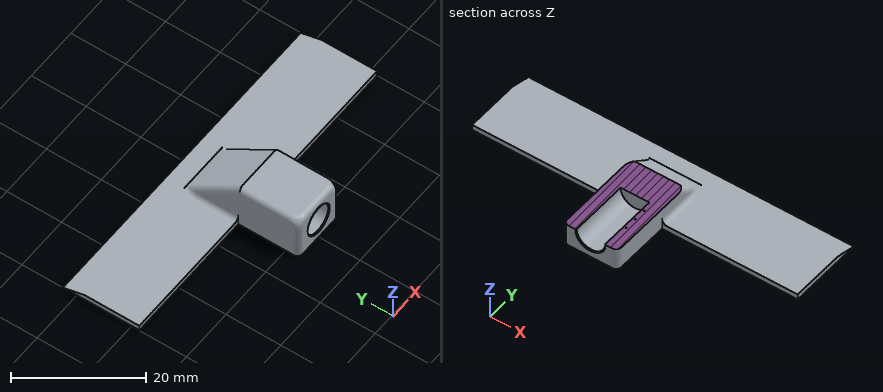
import cadquery as cq
import math

plate_length = 60.0
plate_depth = 14.0
plate_thickness = 1.1
bevel_depth = 3.95
bevel_start = plate_depth - bevel_depth

block_width = 10.0
block_height = 8.1
block_overhang = 11.05
block_front = -block_overhang
block_side = block_width / 2
edge_radius = 1.0
root_radius = 1.0

corner_size = 2 * edge_radius
patch_centre_inset = 0.6

hole_diameter = 5.2
hole_depth = block_overhang
hole_height = 4.0
hole_chamfer = 0.2

pick_margin = 0.05


def extrude_side_profile(points, width):
    """Extrude a closed YZ outline symmetrically about X = 0."""
    return cq.Workplane("YZ").polyline(points).close().extrude(width / 2, both=True)


def make_plate():
    return extrude_side_profile(
        [
            (0, 0),
            (plate_depth, 0),
            (bevel_start, plate_thickness),
            (0, plate_thickness),
        ],
        plate_length,
    )


def make_block():
    """Block with its front, top and ramp edges rounded."""
    block = extrude_side_profile(
        [
            (block_front, 0),
            (bevel_start, 0),
            (bevel_start, plate_thickness),
            (0, block_height),
            (block_front, block_height),
        ],
        block_width,
    )
    front_edges = block.faces("<Y").edges("not <Z")
    top_side_edges = block.faces("<X or >X").edges(">Z")
    ramp_zone = cq.selectors.BoxSelector(
        (-block_width, 0, plate_thickness),
        (block_width, bevel_start, block_height),
    )
    ramp_side_edges = block.faces("<X or >X").edges(ramp_zone)
    rounded_edges = front_edges.add(top_side_edges).add(ramp_side_edges)
    return block.newObject(rounded_edges.vals()).fillet(edge_radius)


def corner_point(axis, u, v, w):
    """Point with coordinate w along the given axis (0 to 2) and u, v along the next two."""
    coords = [0, 0, 0]
    coords[axis] = w
    coords[(axis + 1) % 3] = u
    coords[(axis + 2) % 3] = v
    return cq.Vector(*coords)


def flat_face(arc, other_points):
    """Planar face bounded by an arc and by straight sides through other_points."""
    points = [arc.endPoint(), *other_points, arc.startPoint()]
    sides = [cq.Edge.makeLine(start, end) for start, end in zip(points, points[1:])]
    return cq.Face.makeFromWires(cq.Wire.assembleEdges([arc, *sides]))


def make_soft_corner():
    """Cube-sized piece with a softened corner at the origin, reaching into +X, +Y and +Z."""
    near = edge_radius
    far = corner_size
    near_mid = near - edge_radius / math.sqrt(2)
    far_mid = far - edge_radius / math.sqrt(2)

    patch_edges = []
    flat_faces = []
    for axis in range(3):
        outer_arc = cq.Edge.makeThreePointArc(
            corner_point(axis, far, near, 0),
            corner_point(axis, far_mid, far_mid, 0),
            corner_point(axis, near, far, 0),
        )
        flat_faces.append(flat_face(outer_arc, [corner_point(axis, far, far, 0)]))

        inner_arc = cq.Edge.makeThreePointArc(
            corner_point(axis, near, 0, far),
            corner_point(axis, near_mid, near_mid, far),
            corner_point(axis, 0, near, far),
        )
        inner_corners = [
            corner_point(axis, 0, far, far),
            corner_point(axis, far, far, far),
            corner_point(axis, far, 0, far),
        ]
        flat_faces.append(flat_face(inner_arc, inner_corners))
        patch_edges += [outer_arc, inner_arc]

    centre = cq.Vector(patch_centre_inset, patch_centre_inset, patch_centre_inset)
    patch = cq.Face.makeNSidedSurface(patch_edges, [centre])
    return cq.Workplane(cq.Solid.makeSolid(cq.Shell.makeShell([patch, *flat_faces])))


def soften_front_corners(block):
    """Swap the two top front corners of the block for the softer ones."""
    corner = (-block_side, block_front, block_height)
    cube = cq.Workplane().box(corner_size, corner_size, corner_size, centered=False)
    soft_corner = make_soft_corner()
    cube = cube.mirror("XY").translate(corner)
    soft_corner = soft_corner.mirror("XY").translate(corner)
    block = block.cut(cube).cut(cube.mirror("YZ"))
    return block.union(soft_corner).union(soft_corner.mirror("YZ"))


def round_root(body):
    """Blend the foot of the block sides into the top of the plate."""
    root_zone = cq.selectors.BoxSelector(
        (-block_side - pick_margin, pick_margin, plate_thickness - pick_margin),
        (block_side + pick_margin, bevel_start - pick_margin, plate_thickness + pick_margin),
    )
    return body.edges(root_zone).fillet(root_radius)


def cut_hole(body):
    """Blind hole along Y with a chamfered mouth."""
    hole = (
        cq.Workplane("XZ", origin=(0, block_front, hole_height))
        .circle(hole_diameter / 2)
        .extrude(-hole_depth)
    )
    return body.cut(hole).faces("<Y").edges("%CIRCLE").chamfer(hole_chamfer)


block = soften_front_corners(make_block())
body = round_root(make_plate().union(block))
result = cut_hole(body).solids()